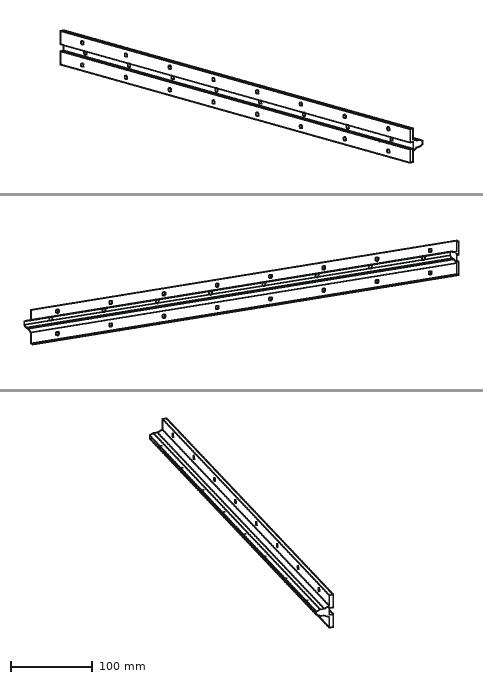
import cadquery as cq

LENGTH = 599.5
DEPTH = 22.0
HEIGHT = 43.0

FLANGE_THICKNESS = 5.5
GROOVE_WIDTH = 9.0
STEM_ROOT_WIDTH = 15.0
STEM_NECK_WIDTH = 9.0
STEM_TIP_WIDTH = 4.0
ROOT_TAPER_LENGTH = 6.5
TIP_TAPER_LENGTH = 5.0

HOLE_DIAMETER = 4.5
HOLE_COUNT = 8
HOLE_PITCH = LENGTH / HOLE_COUNT
ROW_SPACING = 14.5

front_y = -DEPTH / 2
tip_y = DEPTH / 2
flange_back_y = front_y + FLANGE_THICKNESS
neck_start_y = flange_back_y + ROOT_TAPER_LENGTH
neck_end_y = tip_y - TIP_TAPER_LENGTH


def make_rail():
    """Extrude the symmetric cross-section along X."""
    upper_half = [
        (flange_back_y, GROOVE_WIDTH / 2),
        (front_y, GROOVE_WIDTH / 2),
        (front_y, HEIGHT / 2),
        (flange_back_y, HEIGHT / 2),
        (flange_back_y, STEM_ROOT_WIDTH / 2),
        (neck_start_y, STEM_NECK_WIDTH / 2),
        (neck_end_y, STEM_NECK_WIDTH / 2),
        (tip_y, STEM_TIP_WIDTH / 2),
    ]
    lower_half = [(y, -z) for y, z in reversed(upper_half)]
    profile = cq.Workplane("YZ").polyline(upper_half + lower_half).close()
    return profile.extrude(LENGTH / 2, both=True)


def make_holes():
    """Grid of cylinders along Y, long enough to pass through the whole rail."""
    return (
        cq.Workplane("XZ")
        .rarray(HOLE_PITCH, ROW_SPACING, HOLE_COUNT, 3)
        .circle(HOLE_DIAMETER / 2)
        .extrude(DEPTH, both=True)
    )


result = make_rail().cut(make_holes())